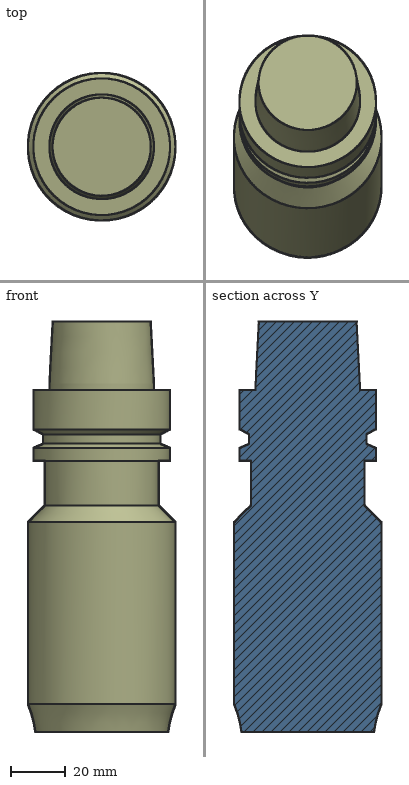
import cadquery as cq

body_diameter = 54.0
foot_diameter = 48.6
foot_waist_diameter = 50.5
neck_diameter = 41.7
flange_diameter = 50.0
groove_diameter = 43.0
shank_base_diameter = 38.2
shank_tip_diameter = 35.8

total_height = 150.0
foot_height = 10.2
neck_bottom = 82.8
flange_bottom = 99.0
flange_top = 125.0
groove_lower_lip = 103.8
groove_floor_bottom = 105.3
groove_floor_top = 108.8
groove_upper_lip = 110.5
taper_start = 127.2

shoulder_height = (body_diameter - neck_diameter) / 2
body_top = neck_bottom - shoulder_height

profile = (
    cq.Workplane("XZ")
    .lineTo(foot_diameter / 2, 0)
    .threePointArc(
        (foot_waist_diameter / 2, foot_height / 2),
        (body_diameter / 2, foot_height),
    )
    .lineTo(body_diameter / 2, body_top)
    .lineTo(neck_diameter / 2, neck_bottom)
    .lineTo(neck_diameter / 2, flange_bottom)
    .lineTo(flange_diameter / 2, flange_bottom)
    .lineTo(flange_diameter / 2, groove_lower_lip)
    .lineTo(groove_diameter / 2, groove_floor_bottom)
    .lineTo(groove_diameter / 2, groove_floor_top)
    .lineTo(flange_diameter / 2, groove_upper_lip)
    .lineTo(flange_diameter / 2, flange_top)
    .lineTo(shank_base_diameter / 2, flange_top)
    .lineTo(shank_base_diameter / 2, taper_start)
    .lineTo(shank_tip_diameter / 2, total_height)
    .lineTo(0, total_height)
    .close()
)

result = profile.revolve(360, (0, 0, 0), (0, 1, 0))